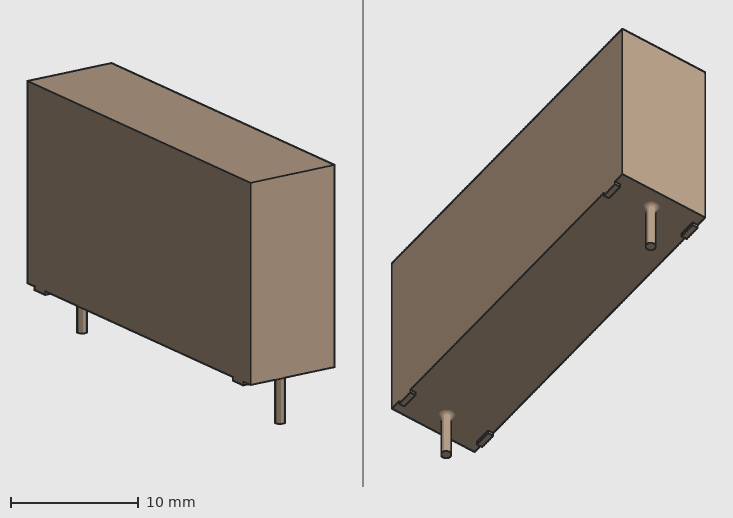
import cadquery as cq

body_length = 31.0
body_width = 8.0
body_top = 17.0

foot_height = 0.3
foot_length = 1.5
foot_depth = 0.5
foot_end_inset = 1.0

lead_pitch = 27.5
lead_diameter = 0.8
lead_reach = 4.0
collar_radius = 0.5


def make_body():
    """Rectangular case whose underside is held above the standing plane."""
    return (
        cq.Workplane("XY")
        .workplane(offset=foot_height)
        .rect(body_length, body_width)
        .extrude(body_top - foot_height)
    )


def make_feet():
    """Four feet, flush with the long sides of the case."""
    foot_spacing = body_length - 2 * foot_end_inset - foot_length
    return (
        cq.Workplane("XY")
        .rarray(foot_spacing, body_width - foot_depth, 2, 2)
        .rect(foot_length, foot_depth)
        .extrude(foot_height)
    )


def make_lead(x):
    """Lead at position x: a revolved collar and pin hanging from the underside."""
    lead_radius = lead_diameter / 2
    return (
        cq.Workplane("XZ")
        .moveTo(0, foot_height)
        .lineTo(lead_radius + collar_radius, foot_height)
        .radiusArc((lead_radius, foot_height - collar_radius), -collar_radius)
        .lineTo(lead_radius, -lead_reach)
        .lineTo(0, -lead_reach)
        .close()
        .revolve(360, (0, 0), (0, 1))
        .translate((x, 0, 0))
    )


result = make_body().union(make_feet())
for side in (-1, 1):
    result = result.union(make_lead(side * lead_pitch / 2))